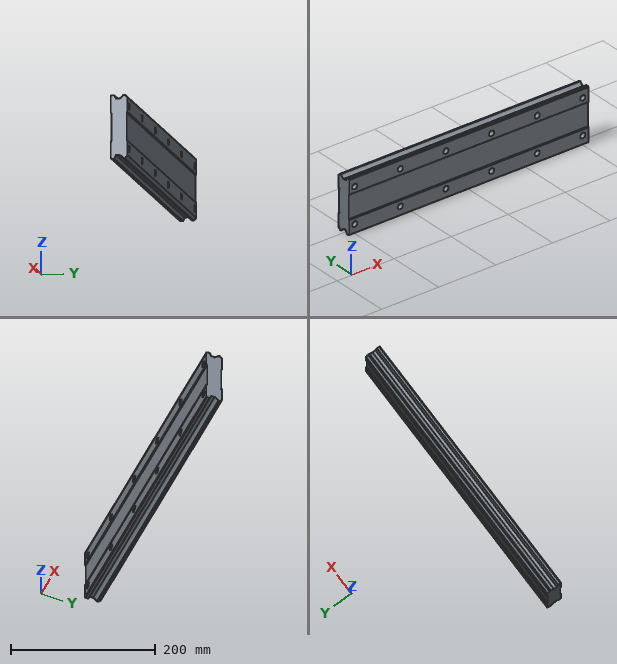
import cadquery as cq

length = 420.0
thickness = 24.0
height = 90.0
half_thickness = thickness / 2
half_height = height / 2

rail_slope = 3.8
rail_crest = 2.0
flank_run = 4.0
flank_drop = 4.0
flank_hollow = 0.5

groove_depth = 5.0
groove_back_run = 1.3
groove_floor = 5.0
groove_wall_run = 2.5
lip_chamfer = 1.3

recess_height = 40.7
recess_depth = 1.3

hole_diameter = 9.0
hole_columns = 6
hole_pitch = 80.0
row_spacing = 60.0


def upper_half_bar():
    """Extrude the upper half of the Y-Z section along X, resting on Z = 0."""
    crest_back = half_thickness - rail_slope
    crest_front = crest_back - rail_crest
    flank_end = crest_front - flank_run
    flank_end_z = half_height - flank_drop
    floor_back = flank_end - groove_back_run
    floor_front = floor_back - groove_floor
    floor_z = half_height - groove_depth
    lip_back = floor_front - groove_wall_run
    recess_y = half_thickness - recess_depth
    recess_outer_z = recess_height / 2
    recess_inner_z = recess_outer_z - recess_depth
    return (
        cq.Workplane("YZ")
        .moveTo(recess_y, 0)
        .lineTo(recess_y, recess_inner_z)
        .lineTo(half_thickness, recess_outer_z)
        .lineTo(half_thickness, half_height - rail_slope)
        .lineTo(crest_back, half_height)
        .lineTo(crest_front, half_height)
        .sagittaArc((flank_end, flank_end_z), flank_hollow)
        .lineTo(floor_back, floor_z)
        .lineTo(floor_front, floor_z)
        .lineTo(lip_back, half_height)
        .lineTo(-half_thickness + lip_chamfer, half_height)
        .lineTo(-half_thickness, half_height - lip_chamfer)
        .lineTo(-half_thickness, recess_outer_z)
        .lineTo(-recess_y, recess_inner_z)
        .lineTo(-recess_y, 0)
        .close()
        .extrude(length / 2, both=True)
    )


def mounting_holes():
    """Cylinders that pass through the thickness, in two rows."""
    return (
        cq.Workplane("XZ")
        .rarray(hole_pitch, row_spacing, hole_columns, 2)
        .circle(hole_diameter / 2)
        .extrude(thickness, both=True)
    )


upper = upper_half_bar()
bar = upper.union(upper.mirror("XY")).clean()

result = bar.cut(mounting_holes())